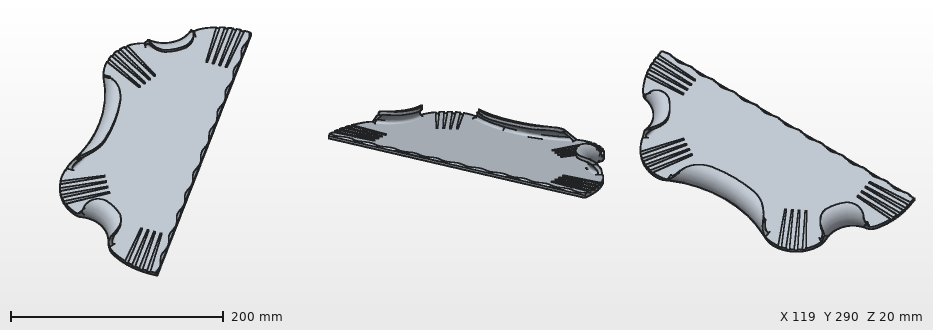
import cadquery as cq
import math

HALF_LENGTH = 145.0
PLATE = 4.4

LOBE_X = -82.0
LOBE_Y = 67.0
LOBE_R = 37.0

END_FLAT = 8.7
END_ARC_TIP = (-44.7, 135.7)
CORNER_MID = (-51.3, 130.5)
CORNER_TIP = (-54.8, 125.3)

HEIGHT = 20.0
LIP_R = HEIGHT - PLATE
LIP_WALL = 3.5
LIP_INNER_R = LIP_R - LIP_WALL
ROOT_R = 2.5

BIG_R = 119.0
BIG_EDGE_X = -103.8
BIG_X = BIG_EDGE_X - BIG_R
SMALL_X = -81.8
SMALL_Y = 132.0
SMALL_R = math.hypot(SMALL_X - LOBE_X, SMALL_Y - LOBE_Y) - LOBE_R
SMALL_ANGLE = -57.5

WAIST_Z = 13.0
FLANK_SAG = 0.36
BIG_WIDTHS = (68.5, 49.0, 20.3)
BIG_SHOULDER = (7.0, 38.0)
SMALL_WIDTHS = (30.7, 20.3, 10.2)
SMALL_SHOULDER = (7.5, 18.5)

WAVE_PITCH = 25.0
WAVE_DEPTH = 2.5
WAVE_Z = 2.5
WAVE_COUNT = 6
WAVE_STEPS = 8

GROOVE_COUNT = 4
GROOVE_PITCH = 6.5
GROOVE_LENGTH = 52.2
GROOVE_INNER_R = 0.72
GROOVE_OUTER_R = 1.88
FAN_RADIUS = 208.8
END_FAN = (-20.0, 100.3, 90.0)
LOBE_FAN = (-76.0, 62.0, 149.5)

DIAGONAL = math.sqrt(0.5)


def point_towards(start, target, distance):
    """Point at a distance from start on the line to target."""
    angle = math.atan2(target[1] - start[1], target[0] - start[0])
    return (start[0] + distance * math.cos(angle), start[1] + distance * math.sin(angle))


def plate(height):
    """Outline at a given height, with straight chords where the lips will hollow the edge."""
    lobe = (LOBE_X, LOBE_Y)
    lobe_start = point_towards(lobe, (SMALL_X, SMALL_Y), LOBE_R)
    lobe_end = point_towards(lobe, (BIG_X, 0), LOBE_R)
    half = (
        cq.Workplane("XY")
        .lineTo(0, HALF_LENGTH)
        .lineTo(-END_FLAT, HALF_LENGTH)
        .tangentArcPoint(END_ARC_TIP, relative=False)
        .threePointArc(CORNER_MID, CORNER_TIP)
        .lineTo(*lobe_start)
        .threePointArc((LOBE_X - LOBE_R, LOBE_Y), lobe_end)
        .lineTo(lobe_end[0], 0)
        .close()
        .extrude(height)
    )
    return half.union(half.mirror("XZ"))


def hollow(radius):
    """Disc with a flared foot that rounds the plate edge below a lip."""
    section = (
        cq.Workplane("XZ")
        .lineTo(radius + PLATE, 0)
        .threePointArc(foot_mid(radius), (radius, PLATE))
        .lineTo(0, PLATE)
        .close()
    )
    return section.revolve(360, (0, 0), (0, 1))


def foot_mid(radius):
    """Middle of the quarter round that joins a lip to the bottom of the plate."""
    return (radius + PLATE * (1 - DIAGONAL), PLATE * (1 - DIAGONAL))


def lip_envelope(radius, half_widths, shoulder):
    """Space that a lip may fill: concave flanks up to the waist, round shoulders above."""
    foot, waist, tip = half_widths
    far = radius + 2 * LIP_R
    flank_mid = (waist + FLANK_SAG * (foot - waist), FLANK_SAG * WAIST_Z)
    flank = (
        cq.Workplane("YZ")
        .lineTo(foot, 0)
        .threePointArc(flank_mid, (waist, WAIST_Z))
        .lineTo(0, WAIST_Z)
        .close()
        .extrude(far)
    )

    waist_inset = LIP_R - math.sqrt(LIP_R**2 - (WAIST_Z - PLATE) ** 2)
    shoulder_start = (math.sqrt(radius**2 - waist**2) + waist_inset, waist)
    shoulder_mid = (radius + shoulder[0], shoulder[1])
    shoulder_end = (math.sqrt((radius + LIP_R) ** 2 - tip**2), tip)
    crest = (
        cq.Workplane("XY", origin=(0, 0, WAIST_Z))
        .lineTo(0, waist)
        .lineTo(*shoulder_start)
        .threePointArc(shoulder_mid, shoulder_end)
        .lineTo(far, tip)
        .lineTo(far, 0)
        .close()
        .extrude(HEIGHT - WAIST_Z)
    )
    half = flank.union(crest)
    return half.union(half.mirror("XZ"))


def lip(radius, half_widths, shoulder):
    """Hooked rim swept around the Z axis and trimmed at its ends, facing local +X."""
    centre = radius + LIP_R

    root_x = centre - math.sqrt((LIP_INNER_R - ROOT_R) ** 2 - ROOT_R**2)
    root_z = PLATE + ROOT_R
    root_angle = math.atan2(ROOT_R, centre - root_x)

    def inner_face(angle):
        return (centre - LIP_INNER_R * math.cos(angle), PLATE + LIP_INNER_R * math.sin(angle))

    section = (
        cq.Workplane("XZ")
        .moveTo(radius + PLATE, 0)
        .threePointArc(foot_mid(radius), (radius, PLATE))
        .threePointArc((centre - LIP_R * DIAGONAL, PLATE + LIP_R * DIAGONAL), (centre, HEIGHT))
        .lineTo(centre, HEIGHT - LIP_WALL)
        .threePointArc(inner_face(math.pi / 4), inner_face(root_angle))
        .threePointArc((root_x - ROOT_R * DIAGONAL, root_z - ROOT_R * DIAGONAL), (root_x, PLATE))
        .lineTo(root_x, 0)
        .close()
    )
    rim = section.revolve(360, (0, 0), (0, 1))
    return rim.intersect(lip_envelope(radius, half_widths, shoulder))


def placed(shape, x, y, angle):
    return shape.rotate((0, 0, 0), (0, 0, 1), angle).translate((x, y, 0))


def wave_relief():
    """Cutter that slopes from the straight joint edge to a wave on the top face."""
    reach = WAVE_COUNT * WAVE_PITCH
    outside = 3.0
    step = WAVE_PITCH / WAVE_STEPS
    crest_line = []
    for i in range(2 * WAVE_COUNT * WAVE_STEPS + 1):
        y = -reach + i * step
        depth = WAVE_DEPTH / 2 * (1 + math.cos(2 * math.pi * y / WAVE_PITCH))
        crest_line.append(cq.Vector(-depth, y, PLATE))

    def loop(edge, z):
        start = edge.startPoint()
        end = edge.endPoint()
        corners = [end, cq.Vector(outside, reach, z), cq.Vector(outside, -reach, z), start]
        sides = [cq.Edge.makeLine(a, b) for a, b in zip(corners, corners[1:])]
        return cq.Wire.assembleEdges([edge] + sides)

    straight = cq.Edge.makeLine(cq.Vector(0, -reach, WAVE_Z), cq.Vector(0, reach, WAVE_Z))
    wave = cq.Edge.makeSpline(crest_line)
    solid = cq.Solid.makeLoft([loop(straight, WAVE_Z), loop(wave, PLATE)], True)
    return cq.Workplane(solid)


def groove_fan(x, y, direction):
    """Tapered round grooves that spread and deepen towards the plate edge."""
    across = math.radians(direction - 90)
    fan = cq.Workplane("XY")
    for i in range(GROOVE_COUNT):
        offset = (i - (GROOVE_COUNT - 1) / 2) * GROOVE_PITCH
        angle = math.radians(direction) - offset / FAN_RADIUS
        start = cq.Vector(x + offset * math.cos(across), y + offset * math.sin(across), PLATE)
        axis = cq.Vector(math.cos(angle), math.sin(angle), 0)
        fan = fan.add(cq.Solid.makeCone(GROOVE_INNER_R, GROOVE_OUTER_R, GROOVE_LENGTH, start, axis))
    return fan.combine()


lips = [
    (BIG_R, BIG_WIDTHS, BIG_SHOULDER, (BIG_X, 0, 0)),
    (SMALL_R, SMALL_WIDTHS, SMALL_SHOULDER, (SMALL_X, SMALL_Y, SMALL_ANGLE)),
    (SMALL_R, SMALL_WIDTHS, SMALL_SHOULDER, (SMALL_X, -SMALL_Y, -SMALL_ANGLE)),
]

result = plate(PLATE)
footprint = plate(HEIGHT)
for radius, half_widths, shoulder, place in lips:
    result = result.cut(placed(hollow(radius), *place))
    result = result.union(placed(lip(radius, half_widths, shoulder), *place).intersect(footprint))

result = result.cut(wave_relief())
for fan_place in (END_FAN, LOBE_FAN):
    fan = groove_fan(*fan_place)
    result = result.cut(fan).cut(fan.mirror("XZ"))